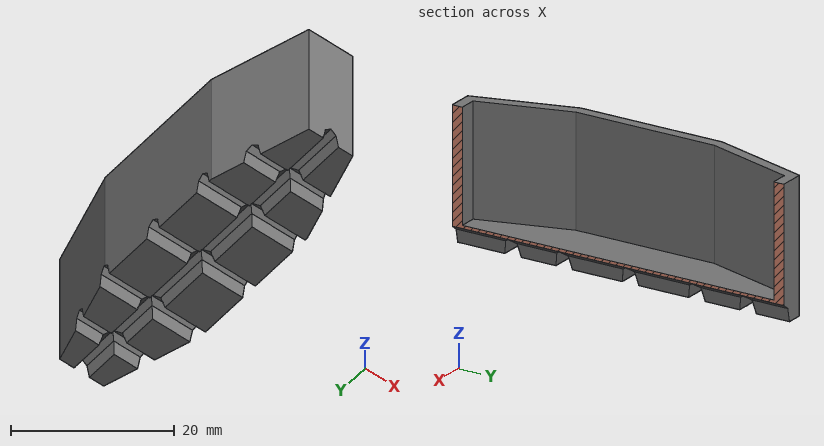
import cadquery as cq

width = 15.1
length = 48.1
height = 18.5
end_width = 6.95
straight_side_length = 20.5
wall = 1.5
floor_thickness = 2 * wall

notch_width = 2.4
notch_shoulder_width = 1.65
notch_shoulder_height = 1.88
notch_height = 2.5

notch_row_center = 1.0
inner_notch_spacing = 9.6
outer_notch_spacing = 17.05
cross_notch_offsets = (
    -outer_notch_spacing,
    -inner_notch_spacing,
    0,
    inner_notch_spacing,
    outer_notch_spacing,
)


def octagon(plane):
    """Outer outline of the tray."""
    corners = [
        (end_width / 2, length / 2),
        (width / 2, straight_side_length / 2),
        (width / 2, -straight_side_length / 2),
        (end_width / 2, -length / 2),
    ]
    opposite_corners = [(-x, -y) for x, y in corners]
    return plane.polyline(corners + opposite_corners).close()


def notch_cutter(plane_name, center, run):
    """Pointed-arch prism with its base at Z = 0, centred along its run."""
    profile = [
        (center - notch_width / 2, 0),
        (center - notch_shoulder_width / 2, notch_shoulder_height),
        (center, notch_height),
        (center + notch_shoulder_width / 2, notch_shoulder_height),
        (center + notch_width / 2, 0),
    ]
    return cq.Workplane(plane_name).polyline(profile).close().extrude(run / 2, both=True)


body = octagon(cq.Workplane("XY")).extrude(height)
cavity_plane = cq.Workplane("XY").workplane(offset=floor_thickness)
cavity = octagon(cavity_plane).offset2D(-wall).extrude(height - floor_thickness)
result = body.cut(cavity)

result = result.cut(notch_cutter("XZ", 0, length))

for offset in cross_notch_offsets:
    result = result.cut(notch_cutter("YZ", notch_row_center + offset, width))